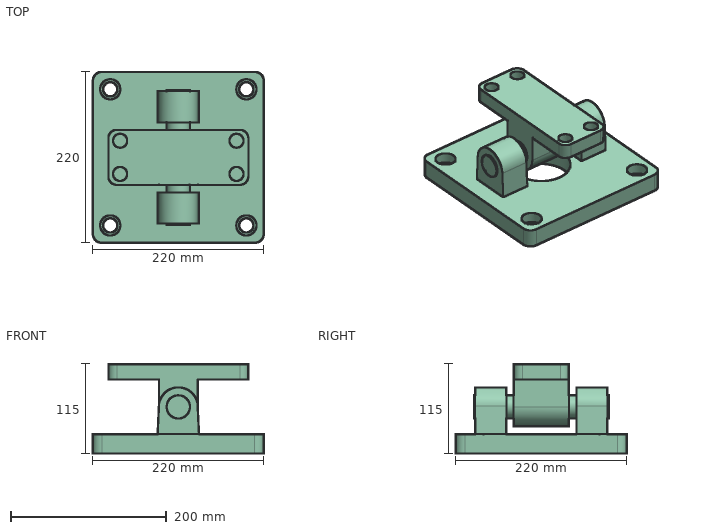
import cadquery as cq
import math

base_side = 220.0
base_thickness = 25.0
base_corner_radius = 11.9
bolt_spacing = 175.0
bolt_diameter = 18.0
counterbore_diameter = 26.0
counterbore_depth = 14.0
center_hole_diameter = 75.0

pivot_height = 60.0
pivot_radius = 25.0
pin_diameter = 30.0
pin_length = 173.4
bearing_length = 40.0
bearing_spacing = 130.0
bearing_foot_width = 53.5

total_height = 115.0
arm_plate_length = 180.0
arm_width = 70.8
arm_plate_thickness = 20.0
arm_corner_radius = 11.0
arm_hole_spacing_x = 149.5
arm_hole_spacing_y = 42.7


def cylinder_along_y(diameter, length):
    """Cylinder on the pivot axis, centred on Y = 0."""
    return (
        cq.Workplane("XZ", origin=(0, length / 2, 0))
        .center(0, pivot_height)
        .circle(diameter / 2)
        .extrude(length)
    )


def make_bearing(y_center):
    """Block with a round top and flanks tangent to it, widening to the foot."""
    half_foot = bearing_foot_width / 2
    drop = pivot_height - base_thickness
    foot_distance = math.hypot(half_foot, drop)
    tangent_angle = math.acos(pivot_radius / foot_distance) - math.atan2(drop, half_foot)
    tangent_x = pivot_radius * math.cos(tangent_angle)
    tangent_z = pivot_height + pivot_radius * math.sin(tangent_angle)
    return (
        cq.Workplane("XZ", origin=(0, y_center + bearing_length / 2, 0))
        .moveTo(-half_foot, base_thickness)
        .lineTo(half_foot, base_thickness)
        .lineTo(tangent_x, tangent_z)
        .threePointArc((0, pivot_height + pivot_radius), (-tangent_x, tangent_z))
        .close()
        .extrude(bearing_length)
    )


def make_base():
    """Mounting plate with two bearing blocks bored for the pin."""
    base = (
        cq.Workplane("XY")
        .rect(base_side, base_side)
        .extrude(base_thickness)
        .edges("|Z")
        .fillet(base_corner_radius)
    )
    base = (
        base.faces(">Z")
        .workplane()
        .rect(bolt_spacing, bolt_spacing, forConstruction=True)
        .vertices()
        .cboreHole(bolt_diameter, counterbore_diameter, counterbore_depth)
    )
    base = base.faces(">Z").workplane().hole(center_hole_diameter)
    for side in (-1, 1):
        base = base.union(make_bearing(side * bearing_spacing / 2))
    return base.cut(cylinder_along_y(pin_diameter, pin_length))


def make_arm():
    """Drilled top plate on a round-bottomed web, with the pivot pin in one piece."""
    plate_bottom = total_height - arm_plate_thickness
    plate = (
        cq.Workplane("XY", origin=(0, 0, plate_bottom))
        .rect(arm_plate_length, arm_width)
        .extrude(arm_plate_thickness)
        .edges("|Z")
        .fillet(arm_corner_radius)
        .faces(">Z")
        .workplane()
        .rect(arm_hole_spacing_x, arm_hole_spacing_y, forConstruction=True)
        .vertices()
        .hole(bolt_diameter)
    )
    web = (
        cq.Workplane("XY", origin=(0, 0, pivot_height))
        .rect(2 * pivot_radius, arm_width)
        .extrude(plate_bottom - pivot_height)
    )
    hub = cylinder_along_y(2 * pivot_radius, arm_width)
    pin = cylinder_along_y(pin_diameter, pin_length)
    return plate.union(web).union(hub).union(pin)


base = make_base()
arm = make_arm()

result = cq.Compound.makeCompound([base.solids().val(), arm.solids().val()])